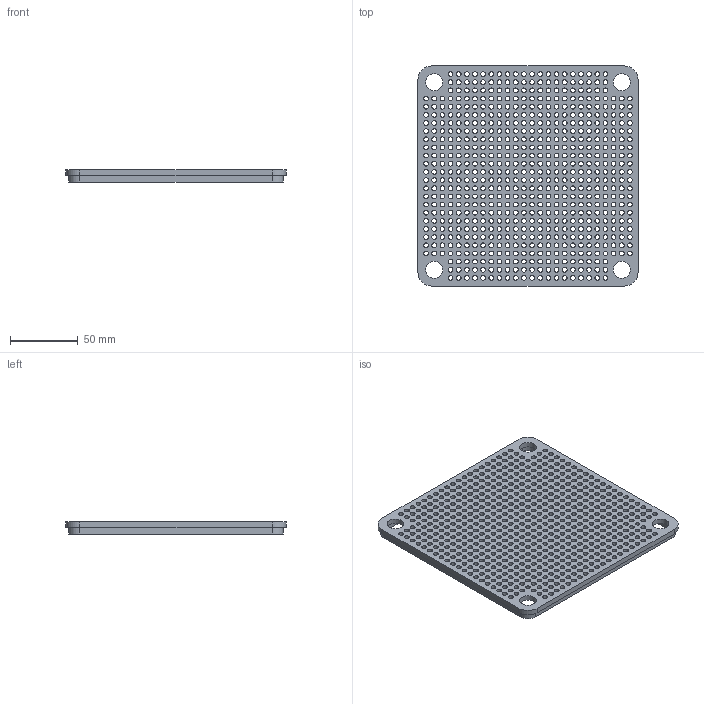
import cadquery as cq

plate_side = 162.0
plate_corner_radius = 10.0
total_height = 9.0
plate_thickness = 4.0

rim_inset = 2.2
rim_wall = 2.0
rim_height = total_height - plate_thickness

perforation_diameter = 3.5
perforation_pitch = 6.0
perforations_per_side = 26
corner_block = 3

narrow_perforation_diameter = 3.1

corner_hole_diameter = 12.3
grid_half_span = perforation_pitch * (perforations_per_side - 1) / 2
corner_hole_offset = grid_half_span - perforation_pitch * (corner_block - 1) / 2
narrow_perforation_offset = grid_half_span - perforation_pitch * corner_block


def rounded_slab(inset, bottom, height):
    """Square slab with round corners, its outline offset inward from the plate outline."""
    side = plate_side - 2 * inset
    slab = cq.Workplane("XY").workplane(offset=bottom).rect(side, side).extrude(height)
    return slab.edges("|Z").fillet(plate_corner_radius - inset)


def is_near_end(index):
    """True for a row or column that runs into a corner block."""
    return index < corner_block or index >= perforations_per_side - corner_block


def is_narrow(column, row):
    """True for the four grid places diagonally next to the corner blocks."""
    block_neighbours = (corner_block, perforations_per_side - corner_block - 1)
    return column in block_neighbours and row in block_neighbours


def wide_perforation_points():
    """Centres of the wide perforations, skipping corner blocks and narrow perforations."""
    points = []
    for column in range(perforations_per_side):
        for row in range(perforations_per_side):
            in_corner_block = is_near_end(column) and is_near_end(row)
            if in_corner_block or is_narrow(column, row):
                continue
            x = column * perforation_pitch - grid_half_span
            y = row * perforation_pitch - grid_half_span
            points.append((x, y))
    return points


def four_corners(offset):
    """Four points at the same offset from the X and Y axes."""
    return [(x_side * offset, y_side * offset) for x_side in (-1, 1) for y_side in (-1, 1)]


def through_holes(points, diameter):
    """Cylinders over the full height, one at each point."""
    return cq.Workplane("XY").pushPoints(points).circle(diameter / 2).extrude(total_height)


plate = rounded_slab(0, rim_height, plate_thickness)
rim = rounded_slab(rim_inset, 0, rim_height).cut(rounded_slab(rim_inset + rim_wall, 0, rim_height))
body = plate.union(rim)

body = body.cut(through_holes(four_corners(corner_hole_offset), corner_hole_diameter))
body = body.cut(through_holes(four_corners(narrow_perforation_offset), narrow_perforation_diameter))
result = body.cut(through_holes(wide_perforation_points(), perforation_diameter))